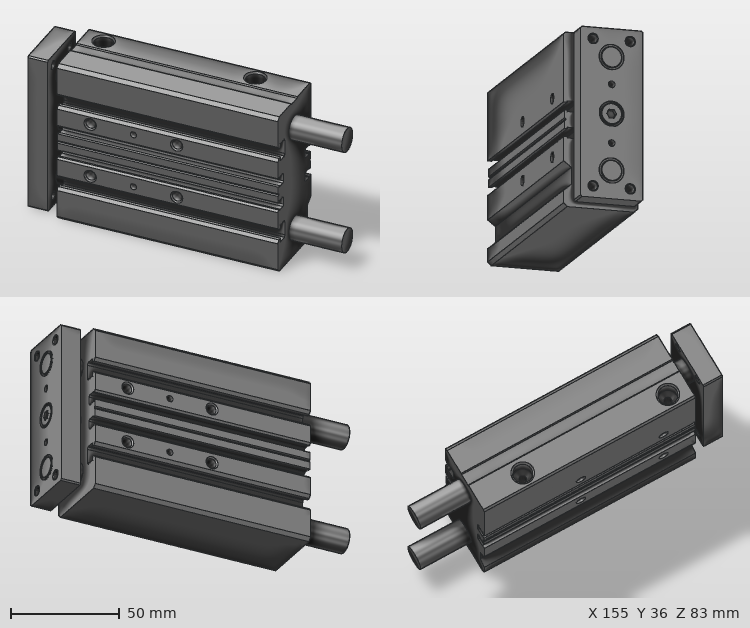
import cadquery as cq
import math


total_length = 155.0
plate_thickness = 10.0
plate_gap = 6.0
housing_length = 112.0
housing_start = plate_thickness + plate_gap

housing_width = 36.0
housing_height = 83.0
half_width = housing_width / 2
half_height = housing_height / 2
corner_chamfer = 1.7
port_side_chamfer = 1.0
top_groove_width = 6.8
top_groove_depth = 0.6
top_groove_flare = 0.5

t_slot_offset = 21.9
t_slot_throat = 5.3
t_slot_lip = 3.0
t_slot_mouth_chamfer = 1.4
t_slot_cavity = 9.0
t_slot_depth = 7.8
t_slot_floor_chamfer_depth = 0.5
t_slot_floor_chamfer_height = 1.1

ridge_half_height = 4.3
ridge_recess = 0.5
ridge_groove_width = 1.4
ridge_groove_floor = 0.5
ridge_groove_depth = 0.6
side_slot_width = 3.9
side_slot_lip = 1.9
side_slot_cavity = 5.1
side_slot_depth = 6.4
side_slot_floor_chamfer = 0.8
side_slot_mouth_chamfer = 1.0

back_slot_offset = 26.7
back_slot_mouth = 13.6
back_slot_floor = 8.0
back_slot_depth = 3.7

face_hole_height = 14.0
mount_hole_places = (33.0, 76.9)
mount_hole_diameter = 4.8
mount_hole_mouth = 6.2
face_dowel_x = sum(mount_hole_places) / 2
dowel_diameter = 3.1
dowel_depth = 6.0

port_places = (26.5, 103.5)
port_y = 10.5
port_mouth = 10.8
port_diameter = 9.1
port_depth = 7.0
port_pilot_diameter = 3.5
port_pilot_depth = 14.0
drill_point_angle = 118.0

guide_diameter = 12.0
guide_offset = 27.0
tip_diameter = 10.0
tip_chamfer = 0.3
guide_tip_length = 0.5
piston_rod_diameter = 8.0
piston_rod_insertion = 31.0
piston_head_diameter = guide_diameter
piston_head_thickness = 5.0
piston_tip_length = 1.4
hex_across_flats = 4.0
hex_depth = 2.5
collar_diameter = 9.9
collar_length = 1.0

plate_width = 30.0
plate_height = 80.9
plate_chamfer = 0.7
plate_hole_y = 9.0
plate_hole_z = 35.0
plate_hole_diameter = 4.2
plate_hole_mouth = 5.0


def rod(x_start, length, diameter, z=0.0):
    """Solid cylinder along +X."""
    return cq.Workplane("YZ", origin=(x_start, 0, z)).circle(diameter / 2).extrude(length)


def hole_tool(diameter, depth, mouth_diameter=None, pointed=False):
    """Drill shape going down from the origin along -Z, with an optional mouth chamfer and drill point."""
    radius = diameter / 2
    points = [(0, 0)]
    if mouth_diameter:
        mouth_radius = mouth_diameter / 2
        points += [(mouth_radius, 0), (radius, radius - mouth_radius)]
    else:
        points += [(radius, 0)]
    points += [(radius, -depth)]
    point_length = radius / math.tan(math.radians(drill_point_angle / 2)) if pointed else 0
    points += [(0, -depth - point_length)]
    return cq.Workplane("XZ").polyline(points).close().revolve(360, (0, 0, 0), (0, 1, 0))


def along_x(tool, y, z):
    """Turn a drill shape so that it goes along +X from the outer face of the plate."""
    return tool.rotate((0, 0, 0), (0, 1, 0), -90).translate((0, y, z))


def along_y(tool, x, z):
    """Turn a drill shape so that it goes along +Y from the -Y face of the housing."""
    return tool.rotate((0, 0, 0), (1, 0, 0), 90).translate((x, -half_width, z))


def profile_bar(points):
    """Bar as long as the housing with the given (Y, Z) section."""
    return cq.Workplane("YZ", origin=(housing_start, 0, 0)).polyline(points).close().extrude(housing_length)


def slot_bar(stations, z, side=-1):
    """Slot cutter symmetric about height z; stations are (depth below the side face, half height)."""
    upper = [(side * (half_width - depth), z + half) for depth, half in stations]
    lower = [(side * (half_width - depth), z - half) for depth, half in reversed(stations)]
    return profile_bar(upper + lower)


def housing_block():
    """Outer block with chamfered long edges and the shallow groove along its top."""
    section = [
        (-half_width + corner_chamfer, -half_height),
        (half_width - corner_chamfer, -half_height),
        (half_width, -half_height + corner_chamfer),
        (half_width, half_height - port_side_chamfer),
        (half_width - port_side_chamfer, half_height),
        (top_groove_width / 2, half_height),
        (top_groove_width / 2 - top_groove_flare, half_height - top_groove_depth),
        (-top_groove_width / 2 + top_groove_flare, half_height - top_groove_depth),
        (-top_groove_width / 2, half_height),
        (-half_width + corner_chamfer, half_height),
        (-half_width, half_height - corner_chamfer),
        (-half_width, -half_height + corner_chamfer),
    ]
    return profile_bar(section)


def cut_t_slots(body):
    """Two T-slots with bevelled mouths along the -Y side."""
    throat_half = t_slot_throat / 2
    cavity_half = t_slot_cavity / 2
    stations = [
        (0, throat_half + t_slot_mouth_chamfer),
        (t_slot_mouth_chamfer, throat_half),
        (t_slot_lip, throat_half),
        (t_slot_lip, cavity_half),
        (t_slot_depth - t_slot_floor_chamfer_depth, cavity_half),
        (t_slot_depth, cavity_half - t_slot_floor_chamfer_height),
    ]
    for z in (-t_slot_offset, t_slot_offset):
        body = body.cut(slot_bar(stations, z))
    return body


def cut_side_slots(body):
    """Two undercut slots on each side, with the recessed and grooved ridge between them."""
    slot_half = side_slot_width / 2
    cavity_half = side_slot_cavity / 2
    slot_z = ridge_half_height + slot_half
    slot_stations = [
        (0, slot_half),
        (side_slot_lip, slot_half),
        (side_slot_lip, cavity_half),
        (side_slot_depth - side_slot_floor_chamfer, cavity_half),
        (side_slot_depth, cavity_half - side_slot_floor_chamfer),
    ]
    floor = half_width - ridge_recess
    for side in (-1, 1):
        body = body.cut(slot_bar([(0, ridge_half_height), (ridge_recess, ridge_half_height)], 0, side))
        groove = [
            (side * floor, -ridge_groove_width / 2),
            (side * floor, ridge_groove_width / 2),
            (side * (floor - ridge_groove_depth), ridge_groove_floor / 2),
            (side * (floor - ridge_groove_depth), -ridge_groove_floor / 2),
        ]
        body = body.cut(profile_bar(groove))
        for z in (-slot_z, slot_z):
            body = body.cut(slot_bar(slot_stations, z, side))
    return body


def chamfer_slot_mouths(body):
    """Bevel the outer edge of each narrow slot on the -Y side."""
    edge_z = ridge_half_height + side_slot_width
    for side in (-1, 1):
        bevel = [
            (-half_width, side * edge_z),
            (-half_width, side * (edge_z + side_slot_mouth_chamfer)),
            (-half_width + side_slot_mouth_chamfer, side * edge_z),
        ]
        body = body.cut(profile_bar(bevel))
    return body


def cut_back_slot(body):
    """Slot with sloping walls in the lower part of the +Y side."""
    stations = [(0, back_slot_mouth / 2), (back_slot_depth, back_slot_floor / 2)]
    return body.cut(slot_bar(stations, -back_slot_offset, side=1))


def cut_face_holes(body):
    """Through mounting holes and blind dowel holes in the -Y face."""
    mount_hole = hole_tool(mount_hole_diameter, housing_width, mount_hole_mouth)
    dowel_hole = hole_tool(dowel_diameter, dowel_depth, pointed=True)
    for z in (-face_hole_height, face_hole_height):
        body = body.cut(along_y(dowel_hole, face_dowel_x, z))
        for x in mount_hole_places:
            body = body.cut(along_y(mount_hole, x, z))
    return body


def cut_ports(body):
    """Air ports with a conical bottom and a narrower pilot hole."""
    bore = hole_tool(port_diameter, port_depth, port_mouth, pointed=True)
    pilot = hole_tool(port_pilot_diameter, port_pilot_depth, pointed=True)
    for x in port_places:
        place = (x, port_y, half_height)
        body = body.cut(bore.translate(place)).cut(pilot.translate(place))
    return body


def add_collar_lugs(body):
    """Two lugs above and below the piston rod: a short collar with a rod-wide slot along Y."""
    collar = rod(housing_start - collar_length, collar_length, collar_diameter)
    slot = cq.Workplane("YZ").rect(collar_diameter, piston_rod_diameter).extrude(housing_start)
    return body.union(collar.cut(slot))


def make_housing():
    body = housing_block()
    body = cut_t_slots(body)
    body = cut_side_slots(body)
    body = chamfer_slot_mouths(body)
    body = cut_back_slot(body)
    body = cut_face_holes(body)
    body = cut_ports(body)
    body = add_collar_lugs(body)
    for z in (-guide_offset, guide_offset):
        body = body.cut(rod(0, total_length, guide_diameter, z))
    return body.cut(rod(0, housing_start + piston_rod_insertion, piston_rod_diameter))


def make_front_plate():
    plate = cq.Workplane("YZ").rect(plate_width, plate_height).extrude(plate_thickness)
    plate = plate.edges("|X").chamfer(plate_chamfer)
    screw_hole = hole_tool(plate_hole_diameter, plate_thickness, plate_hole_mouth)
    dowel_hole = hole_tool(dowel_diameter, dowel_depth, pointed=True)
    for z_side in (-1, 1):
        plate = plate.cut(rod(0, plate_thickness, guide_diameter, z_side * guide_offset))
        plate = plate.cut(along_x(dowel_hole, 0, z_side * face_hole_height))
        for y_side in (-1, 1):
            plate = plate.cut(along_x(screw_hole, y_side * plate_hole_y, z_side * plate_hole_z))
    plate = plate.cut(rod(0, piston_head_thickness, piston_head_diameter))
    return plate.cut(rod(0, plate_thickness, piston_rod_diameter))


def stepped_rod(length, diameter, tip_length, z=0.0):
    """Rod that starts flush with the plate face as a slightly narrower, chamfered tip."""
    tip = rod(0, tip_length, tip_diameter, z).faces("<X").chamfer(tip_chamfer)
    return tip.union(rod(tip_length, length - tip_length, diameter, z))


def make_guide_rod(z):
    return stepped_rod(total_length, guide_diameter, guide_tip_length, z)


def make_piston_rod():
    """Rod with a flush head in the plate and a hexagon socket in the head."""
    head = stepped_rod(piston_head_thickness, piston_head_diameter, piston_tip_length)
    shaft_length = housing_start + piston_rod_insertion - piston_head_thickness
    shaft = rod(piston_head_thickness, shaft_length, piston_rod_diameter)
    hex_across_corners = hex_across_flats / math.cos(math.pi / 6)
    socket = cq.Workplane("YZ").polygon(6, hex_across_corners).extrude(hex_depth)
    return head.union(shaft).cut(socket)


housing = make_housing()
front_plate = make_front_plate()
guide_rods = [make_guide_rod(z) for z in (-guide_offset, guide_offset)]
piston_rod = make_piston_rod()

result = cq.Compound.makeCompound(
    [housing.val(), front_plate.val(), piston_rod.val(), *[guide.val() for guide in guide_rods]]
)